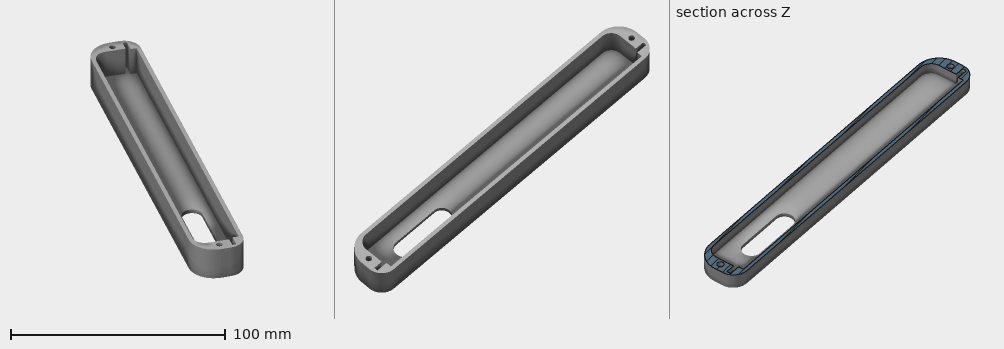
import cadquery as cq

length = 183.0
width = 25.0
height = 16.0
front_corner_radius = 12.0
back_corner_radius = 8.0

wall = 2.0
floor = 2.0
end_wall = 7.0
cavity_corner_radius = 6.0
cavity_length = length - 2 * end_wall
cavity_width = width - 2 * wall
cavity_depth = height - floor

corner_block_end = 8.0
corner_block_setback = 5.0
corner_block_front = width / 2 - corner_block_setback

slot_width = 2.0
slot_end_wall = 2.0

screw_diameter = 3.1
screw_from_end = 4.0
window_length = 35.0
window_width = 9.9
window_x = 52.3
window_y = 1.0


def make_body():
    block = cq.Workplane("XY").box(length, width, height, centered=(True, True, False))
    block = block.edges("|Z and <Y").fillet(front_corner_radius)
    return block.edges("|Z and >Y").fillet(back_corner_radius)


def make_cavity():
    pocket = (
        cq.Workplane("XY", origin=(0, 0, floor))
        .box(cavity_length, cavity_width, cavity_depth, centered=(True, True, False))
        .edges("|Z and <Y")
        .fillet(cavity_corner_radius)
    )
    block_size = corner_block_end - end_wall
    block_depth = cavity_width / 2 - corner_block_front
    for side in (-1, 1):
        corner_block = cq.Workplane("XY").box(block_size, block_depth, height, centered=(True, True, False))
        block_x = side * (cavity_length - block_size) / 2
        pocket = pocket.cut(corner_block.translate((block_x, corner_block_front + block_depth / 2, 0)))
    return pocket


def make_end_slots():
    return cq.Workplane("XY").box(
        length - 2 * slot_end_wall, slot_width, cavity_depth, centered=(True, True, False)
    ).translate((0, corner_block_front - slot_width / 2, floor))


def make_screw_holes():
    screw_x = length / 2 - screw_from_end
    return cq.Workplane("XY").pushPoints([(-screw_x, 0), (screw_x, 0)]).circle(screw_diameter / 2).extrude(height)


def make_window():
    return cq.Workplane("XY").center(window_x, window_y).slot2D(window_length, window_width).extrude(height)


result = (
    make_body()
    .cut(make_cavity())
    .cut(make_end_slots())
    .cut(make_screw_holes())
    .cut(make_window())
)